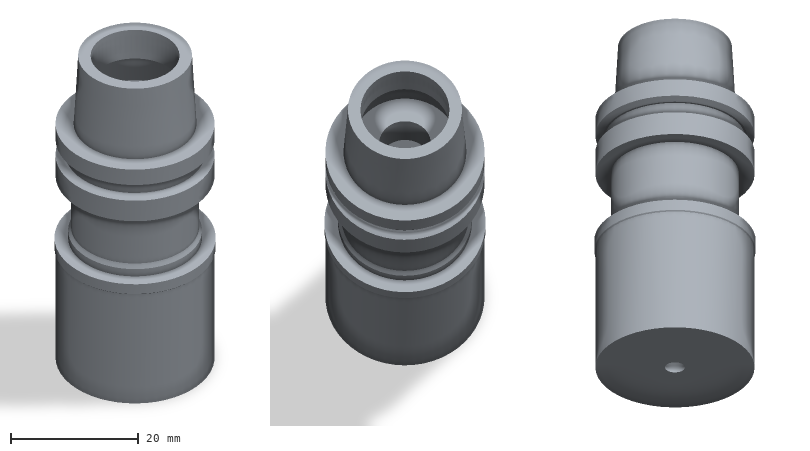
import cadquery as cq

sleeve_top = 21.0
ring_height = 2.05
ring_top = sleeve_top + ring_height
collar_top = 24.4
neck_bottom = 25.2
flange_bottom = 35.05
flange_top = 44.95
total_height = 58.0

groove_lower_edge = 39.0
groove_upper_edge = 42.0
groove_side_height = 0.45

ring_radius = 12.65
sleeve_radius = 12.45
flange_radius = sleeve_radius
groove_radius = 11.0
groove_land_radius = 11.35
neck_radius = 10.05
collar_radius = 10.5
taper_base_radius = 9.6
taper_tip_radius = 8.95

ring_bevel_height = 0.2

mouth_radius = 6.95
mouth_depth = 5.5
undercut_radius = 8.2
bore_depth = 10.5
counterbore_radius = 4.05
counterbore_depth = 5.8
through_radius = 1.55


def revolve_profile(points):
    """Turn a closed (radius, height) outline around the Z axis."""
    return cq.Workplane("XZ").polyline(points).close().revolve(360, (0, 0), (0, 1))


def make_holder():
    """Tapered tool holder whose collar passes through the ring and rests on the sleeve."""
    bore_floor = total_height - bore_depth
    counterbore_floor = bore_floor - counterbore_depth
    mouth_bottom = total_height - mouth_depth
    outside = [
        (collar_radius, sleeve_top),
        (collar_radius, collar_top),
        (neck_radius, neck_bottom),
        (neck_radius, flange_bottom),
        (flange_radius, flange_bottom),
        (flange_radius, groove_lower_edge),
        (groove_land_radius, groove_lower_edge + groove_side_height),
        (groove_radius, groove_lower_edge + groove_side_height),
        (groove_radius, groove_upper_edge - groove_side_height),
        (groove_land_radius, groove_upper_edge - groove_side_height),
        (flange_radius, groove_upper_edge),
        (flange_radius, flange_top),
        (taper_base_radius, flange_top),
        (taper_tip_radius, total_height),
    ]
    inside = [
        (mouth_radius, total_height),
        (mouth_radius, mouth_bottom),
        (undercut_radius, mouth_bottom),
        (undercut_radius, bore_floor),
        (counterbore_radius, bore_floor),
        (counterbore_radius, counterbore_floor),
        (through_radius, counterbore_floor),
        (through_radius, sleeve_top),
    ]
    return revolve_profile(outside + inside)


def make_ring():
    """Ring around the holder's collar, bevelled at its lower outer edge."""
    return revolve_profile([
        (collar_radius, sleeve_top),
        (sleeve_radius, sleeve_top),
        (ring_radius, sleeve_top + ring_bevel_height),
        (ring_radius, ring_top),
        (collar_radius, ring_top),
    ])


def make_sleeve():
    """Plain cylinder below the ring, with the through hole."""
    return cq.Workplane("XY").circle(sleeve_radius).circle(through_radius).extrude(sleeve_top)


holder = make_holder()
ring = make_ring()
sleeve = make_sleeve()

result = cq.Compound.makeCompound([holder.val(), ring.val(), sleeve.val()])